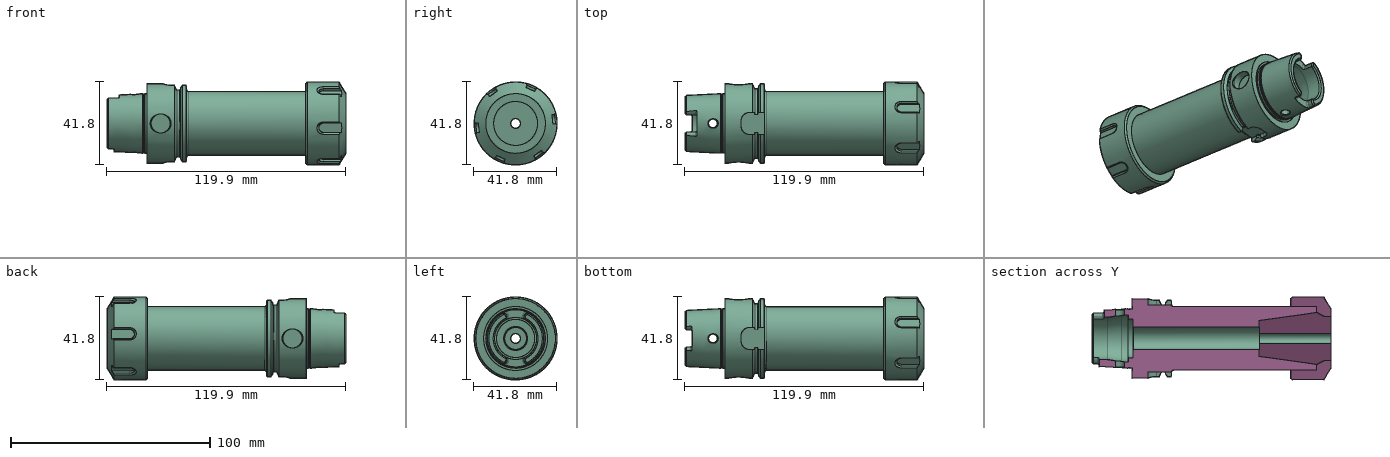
import cadquery as cq
import math

TOTAL_LENGTH = 119.9
MARGIN = 1.2
CHAMFER_ANGLE = 45.0
SELECTION_GAP = 0.1

TAPER_MOUTH_RADIUS = 14.1
TAPER_BASE_RADIUS = 15.0
TAPER_END = 17.7
NECK_START = 18.3
NECK_END = 18.7
NECK_SHOULDER = 19.1
NECK_RADIUS = 14.7
FLANGE_START = 19.9
FACE_RECESS_RADIUS = 16.1
FACE_RECESS_DEPTH = 0.2
FLANGE_RADIUS = 20.0
FLANGE_END = 39.9
RIM_CHAMFER = 0.5
SHANK_RADIUS = 16.1
SHANK_FILLET = 1.0
NOSE_END = 112.7

GROOVE_START = 33.7
GROOVE_FLOOR_START = 34.9
GROOVE_FLOOR_END = 36.7
GROOVE_END = 37.8
GROOVE_FLOOR_RADIUS = 17.5
GROOVE_STEP_RADIUS = 18.6
GROOVE_FILLET = 0.5

MOUTH_RADIUS = 10.5
MOUTH_DEPTH = 7.7
RELIEF_RADIUS = 11.8
RELIEF_START = 14.7
RELIEF_END = 18.0
POCKET_RADIUS = 9.6
POCKET_END = 20.4
BORE_RADIUS = 5.5
BORE_CHAMFER = 0.5
MOUTH_CHAMFER = 0.7

DRIVE_SLOT_HALF_WIDTH = 4.2
DRIVE_SLOT_LEDGE_HEIGHT = 12.8
DRIVE_SLOT_ROUNDING = 2.0
DRIVE_SLOT_END_FILLET = 0.7
UPPER_DRIVE_SLOT_LENGTH = 6.0
LOWER_DRIVE_SLOT_LENGTH = 3.5

CROSS_HOLE_X = 13.9
CROSS_HOLE_RADIUS = 2.2
CROSS_HOLE_MOUTH_RADIUS = 2.8
SIDE_HOLE_X = 26.9
SIDE_HOLE_RADIUS = 4.8
SIDE_HOLE_CHAMFER_DEPTH = 0.5
SIDE_HOLE_DEPTH = 4.8
KEYWAY_START = 28.0
KEYWAY_HALF_WIDTH = 5.5
KEYWAY_CORNER_RADIUS = 4.2
KEYWAY_FLOOR_HEIGHT = 16.9

NUT_START = 99.6
NUT_RADIUS = 20.9
NUT_BACK_CHAMFER = 0.8
NUT_CONE_START = 116.4
NUT_FACE_RADIUS = 15.0
NUT_SLOT_COUNT = 6
NUT_SLOT_FIRST_ANGLE = 186.5
NUT_SLOT_FLOOR_DISTANCE = 18.6
NUT_SLOT_CHAMFER_DISTANCE = 19.9
NUT_SLOT_HALF_WIDTH = 2.4
NUT_SLOT_ROUND_CENTER = 108.6

COLLET_BACK = 83.9
COLLET_TAPER_ANGLE = 8.0
COLLET_MAX_RADIUS = 13.0
COLLET_FACE_RADIUS = 11.0
COLLET_SHOULDER_END = 116.3
COLLET_BORE_RADIUS = 2.4
COLLET_TAPER_SLOPE = math.tan(math.radians(COLLET_TAPER_ANGLE))
COLLET_BACK_RADIUS = COLLET_MAX_RADIUS - (NOSE_END - COLLET_BACK) * COLLET_TAPER_SLOPE


def revolve_about_x(outline):
    """Turn a closed outline of (x, radius) points about the X axis."""
    return cq.Workplane("XY").polyline(outline).close().revolve(360, (0, 0, 0), (1, 0, 0))


def circles_at(station, radius):
    """Select the edges around the X axis at one station, no larger than the given radius."""
    reach = radius + SELECTION_GAP
    back = station - SELECTION_GAP
    front = station + SELECTION_GAP
    return cq.selectors.BoxSelector((back, -reach, -reach), (front, reach, reach), boundingbox=True)


def holder_blank():
    """Taper, grooved flange and shank as one turned shape."""
    recess_bottom = FLANGE_START + FACE_RECESS_DEPTH
    blank = revolve_about_x([
        (0, 0),
        (0, TAPER_MOUTH_RADIUS - MOUTH_CHAMFER),
        (MOUTH_CHAMFER, TAPER_MOUTH_RADIUS),
        (TAPER_END, TAPER_BASE_RADIUS),
        (NECK_START, NECK_RADIUS),
        (NECK_END, NECK_RADIUS),
        (NECK_SHOULDER, TAPER_BASE_RADIUS),
        (recess_bottom, TAPER_BASE_RADIUS),
        (recess_bottom, FACE_RECESS_RADIUS),
        (FLANGE_START, FACE_RECESS_RADIUS),
        (FLANGE_START, FLANGE_RADIUS),
        (GROOVE_START, FLANGE_RADIUS),
        (GROOVE_FLOOR_START, GROOVE_FLOOR_RADIUS),
        (GROOVE_FLOOR_END, GROOVE_FLOOR_RADIUS),
        (GROOVE_FLOOR_END, GROOVE_STEP_RADIUS),
        (GROOVE_END, FLANGE_RADIUS),
        (FLANGE_END - RIM_CHAMFER, FLANGE_RADIUS),
        (FLANGE_END, FLANGE_RADIUS - RIM_CHAMFER),
        (FLANGE_END, SHANK_RADIUS),
        (NOSE_END, SHANK_RADIUS),
        (NOSE_END, 0),
    ])
    blank = blank.edges(circles_at(FLANGE_END, SHANK_RADIUS)).fillet(SHANK_FILLET)
    for station in (GROOVE_FLOOR_START, GROOVE_FLOOR_END):
        blank = blank.edges(circles_at(station, GROOVE_FLOOR_RADIUS)).fillet(GROOVE_FILLET)
    return blank


def holder_cavity():
    """Hollow of the taper, the through bore and the conical collet seat."""
    return revolve_about_x([
        (0, 0),
        (0, MOUTH_RADIUS + MOUTH_CHAMFER),
        (MOUTH_CHAMFER, MOUTH_RADIUS),
        (MOUTH_DEPTH, MOUTH_RADIUS),
        (RELIEF_START, RELIEF_RADIUS),
        (RELIEF_END, RELIEF_RADIUS),
        (RELIEF_END, POCKET_RADIUS),
        (POCKET_END, POCKET_RADIUS),
        (POCKET_END, BORE_RADIUS + BORE_CHAMFER),
        (POCKET_END + BORE_CHAMFER, BORE_RADIUS),
        (COLLET_BACK, BORE_RADIUS),
        (COLLET_BACK, COLLET_BACK_RADIUS),
        (NOSE_END, COLLET_MAX_RADIUS),
        (NOSE_END, 0),
    ])


def drive_slot_outline(station):
    """Slot outline in the +Z wall whose outer corners are rounded down from a flat ledge."""
    half = DRIVE_SLOT_HALF_WIDTH
    ledge = DRIVE_SLOT_LEDGE_HEIGHT
    rounding = DRIVE_SLOT_ROUNDING
    bend = rounding * (1 - math.sqrt(0.5))
    bottom = MOUTH_RADIUS / 2
    outside = TAPER_BASE_RADIUS + MARGIN
    return (
        cq.Workplane("YZ", origin=(station, 0, 0))
        .moveTo(-half, bottom)
        .lineTo(-half, ledge - rounding)
        .threePointArc((-half - bend, ledge - bend), (-half - rounding, ledge))
        .lineTo(-outside, ledge)
        .lineTo(-outside, outside)
        .lineTo(outside, outside)
        .lineTo(outside, ledge)
        .lineTo(half + rounding, ledge)
        .threePointArc((half + bend, ledge - bend), (half, ledge - rounding))
        .lineTo(half, bottom)
        .close()
    )


def drive_slot(length):
    """Cutter for a drive slot, with a filleted end and a 45 degree flare at the mouth."""
    slot = drive_slot_outline(0).extrude(length).faces(">X").edges().fillet(DRIVE_SLOT_END_FILLET)
    flare = drive_slot_outline(MOUTH_CHAMFER).extrude(-MOUTH_CHAMFER, taper=-CHAMFER_ANGLE)
    return slot.union(flare)


def cross_hole():
    """Cutter for the hole through both taper walls, countersunk on the outside."""
    top = TAPER_BASE_RADIUS
    flare = CROSS_HOLE_MOUTH_RADIUS - CROSS_HOLE_RADIUS
    return (
        cq.Workplane("XZ")
        .polyline([
            (0, -top),
            (CROSS_HOLE_MOUTH_RADIUS, -top),
            (CROSS_HOLE_RADIUS, -top + flare),
            (CROSS_HOLE_RADIUS, top - flare),
            (CROSS_HOLE_MOUTH_RADIUS, top),
            (0, top),
        ])
        .close()
        .revolve(360, (0, 0, 0), (0, 1, 0))
        .translate((CROSS_HOLE_X, 0, 0))
    )


def side_hole():
    """Cutter for the blind hole in the -Y side of the flange, with a 45 degree chamfered mouth."""
    return (
        cq.Workplane("XY")
        .polyline([
            (0, SIDE_HOLE_DEPTH - FLANGE_RADIUS),
            (SIDE_HOLE_RADIUS, SIDE_HOLE_DEPTH - FLANGE_RADIUS),
            (SIDE_HOLE_RADIUS, SIDE_HOLE_CHAMFER_DEPTH - FLANGE_RADIUS),
            (SIDE_HOLE_RADIUS + SIDE_HOLE_CHAMFER_DEPTH, -FLANGE_RADIUS),
            (SIDE_HOLE_RADIUS + SIDE_HOLE_CHAMFER_DEPTH, -FLANGE_RADIUS - MARGIN),
            (0, -FLANGE_RADIUS - MARGIN),
        ])
        .close()
        .revolve(360, (0, 0, 0), (0, 1, 0))
        .translate((SIDE_HOLE_X, 0, 0))
    )


def keyway():
    """Cutter for the flat-bottomed keyway in the top of the flange, open towards the shank."""
    length = FLANGE_END - KEYWAY_START
    return (
        cq.Workplane("XY", origin=(KEYWAY_START + length / 2, 0, KEYWAY_FLOOR_HEIGHT))
        .rect(length, 2 * KEYWAY_HALF_WIDTH)
        .extrude(FLANGE_RADIUS + MARGIN - KEYWAY_FLOOR_HEIGHT)
        .edges("|Z and <X")
        .fillet(KEYWAY_CORNER_RADIUS)
    )


def half_turn(shape):
    """Repeat a cutter on the opposite side of the X axis."""
    return shape.rotate((0, 0, 0), (1, 0, 0), 180)


def make_holder():
    holder = holder_blank().cut(holder_cavity())
    holder = holder.cut(drive_slot(UPPER_DRIVE_SLOT_LENGTH))
    holder = holder.cut(half_turn(drive_slot(LOWER_DRIVE_SLOT_LENGTH)))
    holder = holder.cut(cross_hole())
    for cutter in (side_hole(), keyway()):
        holder = holder.cut(cutter).cut(half_turn(cutter))
    return holder


def nut_slot_outline(angle, distance):
    """Slot outline with a rounded back end, on the plane at a distance from the X axis."""
    direction = (0, math.cos(math.radians(angle)), math.sin(math.radians(angle)))
    half = NUT_SLOT_HALF_WIDTH
    center = NUT_SLOT_ROUND_CENTER
    front = TOTAL_LENGTH + MARGIN
    plane = cq.Plane(
        origin=tuple(distance * part for part in direction),
        xDir=(1, 0, 0),
        normal=direction,
    )
    return (
        cq.Workplane(plane)
        .moveTo(front, half)
        .lineTo(center, half)
        .threePointArc((center - half, 0), (center, -half))
        .lineTo(front, -half)
        .close()
    )


def nut_slot(angle):
    """Cutter for one spanner slot with a flat floor, upright walls and chamfered upper edges."""
    outside = NUT_RADIUS + MARGIN
    walls = nut_slot_outline(angle, NUT_SLOT_FLOOR_DISTANCE).extrude(outside - NUT_SLOT_FLOOR_DISTANCE)
    chamfer_height = outside - NUT_SLOT_CHAMFER_DISTANCE
    chamfer = nut_slot_outline(angle, NUT_SLOT_CHAMFER_DISTANCE).extrude(chamfer_height, taper=-CHAMFER_ANGLE)
    return walls.union(chamfer)


def make_nut():
    nut = revolve_about_x([
        (NUT_START, SHANK_RADIUS),
        (NUT_START, NUT_RADIUS - NUT_BACK_CHAMFER),
        (NUT_START + NUT_BACK_CHAMFER, NUT_RADIUS),
        (NUT_CONE_START, NUT_RADIUS),
        (TOTAL_LENGTH, NUT_FACE_RADIUS),
        (TOTAL_LENGTH, COLLET_FACE_RADIUS),
        (COLLET_SHOULDER_END, COLLET_FACE_RADIUS),
        (NOSE_END, COLLET_MAX_RADIUS),
        (NOSE_END, SHANK_RADIUS),
    ])
    for index in range(NUT_SLOT_COUNT):
        nut = nut.cut(nut_slot(NUT_SLOT_FIRST_ANGLE + index * 360 / NUT_SLOT_COUNT))
    return nut


def make_collet():
    """Tapered sleeve seated in the holder nose and held by the lip of the nut."""
    return revolve_about_x([
        (COLLET_BACK, COLLET_BORE_RADIUS),
        (COLLET_BACK, COLLET_BACK_RADIUS),
        (NOSE_END, COLLET_MAX_RADIUS),
        (COLLET_SHOULDER_END, COLLET_FACE_RADIUS),
        (TOTAL_LENGTH, COLLET_FACE_RADIUS),
        (TOTAL_LENGTH, COLLET_BORE_RADIUS),
    ])


holder = make_holder()
nut = make_nut()
collet = make_collet()

result = cq.Compound.makeCompound([holder.val(), nut.val(), collet.val()])